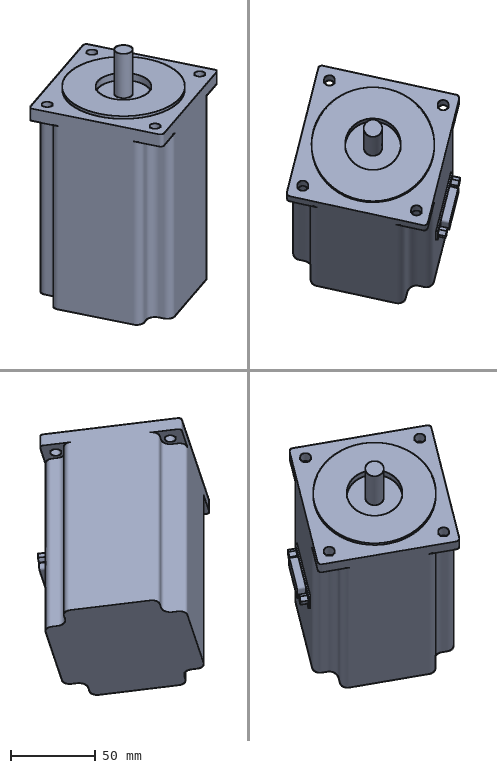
import cadquery as cq
import math

width = 85.9
half_width = width / 2
total_height = 159.6
body_height = 124.3
flange_top = 132.6
pilot_top = 134.5

flange_corner_radius = 2.2
pilot_diameter = 73.0
bore_diameter = 33.0
bore_depth = 5.0
bore_floor = pilot_top - bore_depth
shaft_diameter = 11.0
bolt_hole_diameter = 6.5
bolt_offset = 34.6

relief_radius = 5.6
corner_round_radius = 4.8
relief_wall = bolt_offset - relief_radius
relief_start = relief_wall - corner_round_radius
round_end = half_width - corner_round_radius

connector_height = 61.3
plate_width = 39.7
plate_height = 13.0
plate_thickness = 1.1
plate_corner_radius = 1.3
shell_width = 26.3
shell_height = 9.9
shell_reach = 6.4
shell_side_angle = 10.0
shell_corner_radius = 1.9
post_spacing = 33.0
post_across_flats = 5.5
post_reach = 5.7


def corner_relief():
    """Cutter for the +X +Y body corner: a scooped notch between two rounded lips."""
    round_bend = corner_round_radius * math.sqrt(0.5)
    relief_bend = relief_radius * math.sqrt(0.5)
    lip_near = relief_start + round_bend
    lip_far = round_end + round_bend
    scoop_middle = bolt_offset - relief_bend
    return (
        cq.Workplane("XY")
        .moveTo(half_width, relief_start)
        .threePointArc((lip_far, lip_near), (round_end, relief_wall))
        .lineTo(bolt_offset, relief_wall)
        .threePointArc((scoop_middle, scoop_middle), (relief_wall, bolt_offset))
        .lineTo(relief_wall, round_end)
        .threePointArc((lip_near, lip_far), (relief_start, half_width))
        .lineTo(half_width, half_width)
        .close()
        .extrude(body_height)
    )


def motor_body():
    """Square column with a relief at each of its four corners."""
    body = cq.Workplane("XY").box(width, width, body_height, centered=(True, True, False))
    relief = corner_relief()
    for quarter in range(4):
        body = body.cut(relief.rotate((0, 0, 0), (0, 0, 1), 90 * quarter))
    return body


def mounting_flange():
    """Square flange with the round pilot, a blind bore and four bolt holes."""
    flange = (
        cq.Workplane("XY", origin=(0, 0, body_height))
        .rect(width, width)
        .extrude(flange_top - body_height)
        .edges("|Z")
        .fillet(flange_corner_radius)
    )
    pilot = (
        cq.Workplane("XY", origin=(0, 0, flange_top))
        .circle(pilot_diameter / 2)
        .extrude(pilot_top - flange_top)
    )
    bore = (
        cq.Workplane("XY", origin=(0, 0, bore_floor))
        .circle(bore_diameter / 2)
        .extrude(bore_depth)
    )
    bolt_holes = (
        cq.Workplane("XY", origin=(0, 0, body_height))
        .rect(2 * bolt_offset, 2 * bolt_offset, forConstruction=True)
        .vertices()
        .circle(bolt_hole_diameter / 2)
        .extrude(flange_top - body_height)
    )
    return flange.union(pilot).cut(bore).cut(bolt_holes)


def output_shaft():
    """Plain round shaft rising from the bore floor."""
    return (
        cq.Workplane("XY", origin=(0, 0, bore_floor))
        .circle(shaft_diameter / 2)
        .extrude(total_height - bore_floor)
    )


def side_plane():
    """Plane on the +Y body side: its normal is +Y, local x is +X and local y is -Z."""
    return cq.Workplane(cq.Plane((0, half_width, connector_height), (1, 0, 0), (0, 1, 0)))


def connector():
    """D-shaped plug on a thin plate, flanked by two hexagonal posts."""
    plate = (
        side_plane()
        .rect(plate_width, plate_height)
        .extrude(plate_thickness)
        .edges("|Y")
        .fillet(plate_corner_radius)
    )

    wide_half = shell_width / 2
    taper = shell_height * math.tan(math.radians(shell_side_angle))
    narrow_half = wide_half - taper
    half_height = shell_height / 2
    shell = (
        side_plane()
        .polyline([
            (-wide_half, half_height),
            (wide_half, half_height),
            (narrow_half, -half_height),
            (-narrow_half, -half_height),
        ])
        .close()
        .extrude(shell_reach)
        .edges("|Y")
        .fillet(shell_corner_radius)
    )

    post_across_corners = post_across_flats / math.cos(math.radians(30))
    posts = (
        side_plane()
        .transformed(rotate=(0, 0, 90))
        .pushPoints([(0, -post_spacing / 2), (0, post_spacing / 2)])
        .polygon(6, post_across_corners)
        .extrude(post_reach)
    )
    return plate.union(shell).union(posts)


result = motor_body().union(mounting_flange()).union(output_shaft()).union(connector())